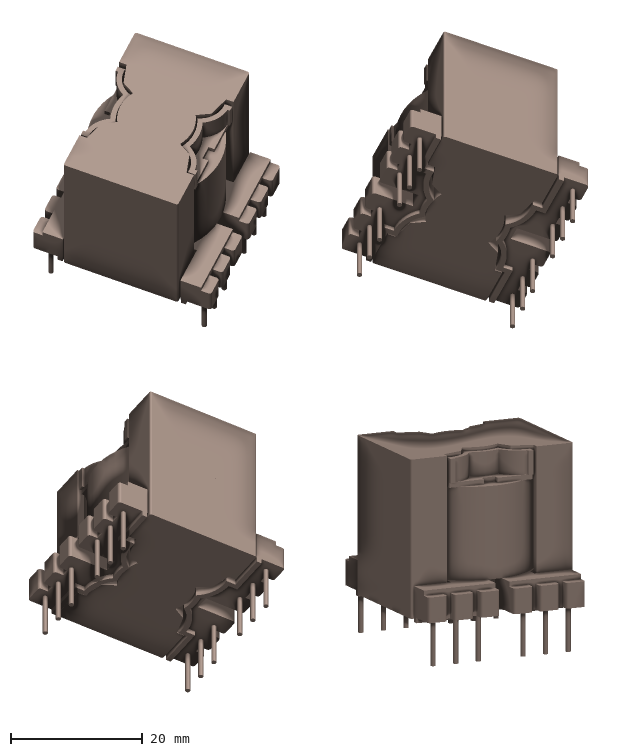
import cadquery as cq

core_x = 18.9
core_y = 27.3
core_top = 31.62
core_height = 24.75
core_bottom = core_top - core_height
core_middle = core_top - core_height / 2
core_plate = 4.33
core_edge_radius = 0.3
center_post_radius = 5.98
window_radius = 11.15
leg_gap = 15.05
plate_bend_x, plate_bend_y = 7.27, 4.17
plate_tip_x, plate_tip_y = 5.2, 2.97

wall = 0.82
bore_radius = 6.2
barrel_radius = bore_radius + wall
flange_radius = 10.8
flange_thickness = 0.8
flange_x = 18.12
flange_y = 13.98
window_floor = core_bottom + core_plate
window_ceiling = core_top - core_plate
winding_bottom = window_floor + flange_thickness
winding_top = window_ceiling - flange_thickness
winding_radius = 10.55

upper_arc_x, upper_arc_y, upper_arc_radius = 4.33, 6.65, 3.92
lower_arc_x, lower_arc_y, lower_arc_radius = 2.85, 6.17, 5.38
upper_wall_reach = 9.45
upper_wall_top = 31.08

block_outer_x = 13.12
block_inner_x = 9.7
block_y = 26.45
block_bottom = 7.2
lip_outer_x = 10.6
lip_bottom = 6.4
wire_slot_width = 2.3
wire_slot_end_x = 8.1

tabs_span = 29.5
tabs_outer_x = tabs_span / 2
tab_width = 3.23
tab_edge_radius = 0.45
terminal_count = 3
tab_pitch = ((block_y - wire_slot_width) / 2 - tab_width) / (terminal_count - 1)
pin_diameter = 0.8
pin_rows_x = (-12.5, 12.85)
first_pin_y = 3.75
pin_pitch = 3.8
pin_embedding = 0.63


def box(x_start, x_end, y_start, y_end, z_start, z_end):
    """Box given by its limits along each axis."""
    return (
        cq.Workplane("XY", origin=(0, 0, z_start))
        .moveTo(x_start, y_start)
        .lineTo(x_end, y_start)
        .lineTo(x_end, y_end)
        .lineTo(x_start, y_end)
        .close()
        .extrude(z_end - z_start)
    )


def disc(radius, z_start, z_end, x=0.0, y=0.0):
    """Upright cylinder given by its axis position and height limits, its seam on the -Y side."""
    seam_direction = (0, -1, 0)
    base = cq.Plane(origin=(x, y, z_start), xDir=seam_direction, normal=(0, 0, 1))
    return cq.Workplane(base).circle(radius).extrude(z_end - z_start)


def on_both_ends(shape):
    """A shape on the -X side together with its mirror image on the +X side."""
    return shape.union(shape.mirror("YZ"))


def make_core_half():
    """Lower core half: end plate, two side legs and a round centre post."""
    half = box(-core_x / 2, core_x / 2, -core_y / 2, core_y / 2, core_bottom, core_middle)
    half = half.edges("|Z").fillet(core_edge_radius)
    half = half.cut(disc(window_radius, window_floor, core_middle))
    half = half.cut(box(-core_x, core_x, -leg_gap / 2, leg_gap / 2, window_floor, core_middle))

    window_corner_x = (window_radius**2 - (leg_gap / 2) ** 2) ** 0.5
    side = [
        (-core_x, leg_gap / 2),
        (-window_corner_x, leg_gap / 2),
        (-plate_bend_x, plate_bend_y),
        (-plate_tip_x, plate_tip_y),
    ]
    outline = side + [(x, -y) for x, y in reversed(side)]
    recess = (
        cq.Workplane("XY", origin=(0, 0, core_bottom)).polyline(outline).close().extrude(core_plate)
    )
    half = half.cut(on_both_ends(recess))
    return half.union(disc(center_post_radius, core_bottom, core_middle))


def fill_recess(reach, half_width, arc_x, arc_y, arc_radius, round_radius, z_start, z_end):
    """Block on the -X side, hollowed by two round corners and by a cylinder on the barrel axis."""
    fill = box(-reach, -arc_x, -half_width, half_width, z_start, z_end)
    for y in (-arc_y, arc_y):
        fill = fill.cut(disc(arc_radius, z_start, z_end, -arc_x, y))
    return fill.cut(disc(round_radius, z_start, z_end))


def make_curved_wall(reach, arc_x, arc_y, arc_radius, z_start, z_end):
    """Thin wall on the -X side that follows the plate recess and the barrel."""
    outside = fill_recess(
        reach, flange_y / 2, arc_x, arc_y, arc_radius, bore_radius, z_start, z_end
    )
    pocket = fill_recess(
        reach, flange_y / 2 - wall, arc_x, arc_y, arc_radius + wall, barrel_radius, z_start, z_end
    )
    return outside.cut(pocket)


def make_wire_slot(z_start, z_end):
    """Slot through a flange or block, from its -X end inward."""
    half_width = wire_slot_width / 2
    return box(-block_outer_x, -wire_slot_end_x, -half_width, half_width, z_start, z_end)


def make_upper_end():
    """Upper flange with the curved walls on it."""
    flange = disc(flange_radius, winding_top, window_ceiling)
    flange = flange.union(
        box(-flange_x / 2, flange_x / 2, -flange_y / 2, flange_y / 2, winding_top, window_ceiling)
    )
    flat_limit = box(
        -flange_x / 2, flange_x / 2, -core_y / 2, core_y / 2, winding_top, window_ceiling
    )
    flange = flange.intersect(flat_limit)
    flange = flange.cut(on_both_ends(make_wire_slot(winding_top, window_ceiling)))
    curved_wall = make_curved_wall(
        upper_wall_reach, upper_arc_x, upper_arc_y, upper_arc_radius,
        window_ceiling, upper_wall_top,
    )
    return flange.union(on_both_ends(curved_wall))


def make_tab(y):
    """Rounded tab on the outer face of the -X block, centred at y."""
    tab = box(
        -tabs_outer_x, -block_outer_x, y - tab_width / 2, y + tab_width / 2,
        block_bottom, window_floor,
    )
    return tab.edges("|Z and <X").fillet(tab_edge_radius)


def make_terminal_end():
    """Terminal block on the -X side with its lip and tabs."""
    end = box(
        -block_outer_x, -block_inner_x, -block_y / 2, block_y / 2, block_bottom, winding_bottom
    )
    end = end.union(
        fill_recess(
            block_outer_x, flange_y / 2, lower_arc_x, lower_arc_y, lower_arc_radius,
            bore_radius, block_bottom, window_floor,
        )
    )
    end = end.union(
        box(
            -block_outer_x, -wire_slot_end_x, -flange_y / 2, flange_y / 2,
            window_floor, winding_bottom,
        )
    )
    end = end.cut(make_wire_slot(block_bottom, winding_bottom))

    end = end.union(
        make_curved_wall(
            lip_outer_x, lower_arc_x, lower_arc_y, lower_arc_radius, lip_bottom, block_bottom
        )
    )
    for side in (-1, 1):
        strip_start = side * (flange_y / 2 - wall)
        strip_end = side * block_y / 2
        end = end.union(
            box(-lip_outer_x, wall - lip_outer_x, strip_start, strip_end, lip_bottom, block_bottom)
        )
        for i in range(terminal_count):
            tab_y = (wire_slot_width + tab_width) / 2 + i * tab_pitch
            end = end.union(make_tab(side * tab_y))
    return end


def make_pins():
    """Terminal pins of both blocks, moulded into the block undersides."""
    pins = cq.Workplane("XY")
    for x in pin_rows_x:
        for side in (-1, 1):
            for i in range(terminal_count):
                y = side * (first_pin_y + i * pin_pitch)
                pins = pins.add(disc(pin_diameter / 2, 0, block_bottom + pin_embedding, x, y))
    return pins.combine()


def make_bobbin():
    """Barrel between two flanges, with terminal blocks at the lower ends."""
    lower_flange = disc(flange_radius, window_floor, winding_bottom)
    lower_flange = lower_flange.cut(on_both_ends(make_wire_slot(window_floor, winding_bottom)))
    barrel = disc(barrel_radius, window_floor, window_ceiling)
    bobbin = barrel.union(lower_flange).union(make_upper_end())
    bobbin = bobbin.cut(disc(bore_radius, window_floor, window_ceiling))
    bobbin = bobbin.union(on_both_ends(make_terminal_end()))
    return bobbin.union(make_pins())


def make_winding():
    """Copper winding, a plain ring that fills the space between the flanges."""
    ring = disc(winding_radius, winding_bottom, winding_top)
    return ring.cut(disc(barrel_radius, winding_bottom, winding_top))


lower_core = make_core_half()
upper_core = lower_core.mirror("XY", (0, 0, core_middle))
bobbin = make_bobbin()
winding = make_winding()

result = cq.Compound.makeCompound([lower_core.val(), upper_core.val(), bobbin.val(), winding.val()])